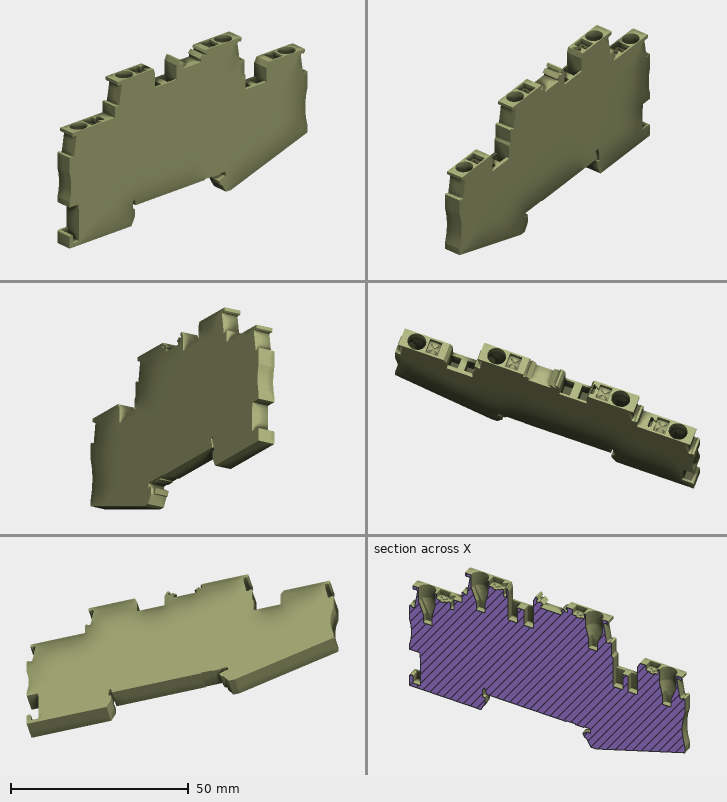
import cadquery as cq

thickness = 5.2
length = 89.55
height = 46.0

half_length = length / 2
half_thickness = thickness / 2

lower_deck_z = 35.3
lower_notch_z = 29.4
upper_notch_z = 40.1
marker_floor_z = 42.8
rail_z = 6.0
rail_relief_z = 6.3
tail_slot_bottom_z = 4.0
tail_slot_top_z = 12.6
tail_slot_y = -41.3
tail_slot_bend_z = 10.5
tail_slot_lean = 0.2
tail_bar_radius = 0.6

hollow_top_z = 23.2
rear_hollow_bottom_z = 11.3
rear_hollow_depth = 0.9
front_hollow_bottom_z = 14.3
front_hollow_depth = 0.6

lower_notch = (29.3, 21.5)
upper_notch = (-4.5, -12.6)
lower_bevel_z = 33.7
upper_bevel_z = 44.5
lower_bevel_width = 0.9
upper_bevel_width = 0.5
upper_shoulder_z = 34.5
lower_socket_width = 3.1
upper_socket_width = 4.1

lip_height = 1.2
groove_drop = 7.5
groove_lean = 1.1
groove_step = 1.8
ridge_rise = 0.45
ridge_shoulder_rise = 0.3
lip_reach = 1.7


def label_groove(ridge_y, deck_z, side):
    """Points of a groove from its lower ridge up to the lip; side is +1 or -1 for an end facing +Y or -Y."""
    base_z = deck_z - groove_drop
    lip_z = deck_z - lip_height
    foot_y = ridge_y - side * groove_step
    throat_y = foot_y - side * groove_lean
    lip_y = throat_y + side * lip_reach
    return [
        (ridge_y, base_z + ridge_shoulder_rise),
        (ridge_y - side * 0.6, base_z + ridge_rise),
        (ridge_y - side * 1.1, base_z),
        (foot_y, base_z),
        (throat_y, lip_z - 0.3),
        (throat_y + side * 0.2, lip_z),
        (throat_y + side * 0.8, lip_z + 0.1),
        (throat_y + side * 1.2, lip_z - 0.2),
        (lip_y, lip_z + 0.2),
        (lip_y, deck_z),
    ]


upper_ridge_y = 20.95
upper_step_y = -27.8

foot_tip_y = 15.9
end_corner_z = 9.2

marker_clip_high = [
    (6.3, height),
    (5.9, 45.3),
    (6.45, 45.1),
    (6.45, 44.4),
    (5.8, 44.4),
    (5.4, 45.0),
    (4.2, 44.0),
    (4.75, 43.8),
    (4.75, marker_floor_z),
]
marker_clip_low = [
    (-1.9, marker_floor_z),
    (-1.9, 43.8),
    (-1.1, 44.0),
    (-2.2, 44.95),
    (-2.7, 44.4),
    (-3.5, 44.4),
    (-3.5, 45.0),
    (-2.9, 45.2),
    (-3.3, height),
    (-3.8, height),
    (upper_notch[0], upper_bevel_z),
]
rail_hook = [
    (-21.5, 0),
    (-20.15, 2.7),
    (-20.15, 4.8),
    (-20.95, 4.8),
    (-20.95, 7.1),
    (-20.5, 8.0),
    (-20.0, 7.1),
    (-20.0, rail_z),
]
rail_foot = [
    (6.1, rail_z),
    (6.1, rail_relief_z),
    (13.6, rail_relief_z),
    (14.0, 6.0),
    (14.0, 4.8),
    (13.3, 5.1),
    (12.6, 4.3),
    (12.6, 2.6),
    (14.15, 0),
]


def body():
    outline = (
        cq.Workplane("YZ", origin=(-half_thickness, 0, 0))
        .moveTo(foot_tip_y, 0)
        .lineTo(half_length, end_corner_z)
        .lineTo(half_length, rear_hollow_bottom_z)
        .threePointArc(
            (half_length - rear_hollow_depth, (rear_hollow_bottom_z + hollow_top_z) / 2),
            (half_length, hollow_top_z),
        )
    )
    corners = label_groove(half_length, lower_deck_z, 0.9)
    corners += [
        (lower_notch[0] + lower_bevel_width, lower_deck_z),
        (lower_notch[0], lower_bevel_z),
        (lower_notch[0], lower_notch_z),
        (lower_notch[1], lower_notch_z),
        (lower_notch[1], lower_bevel_z),
        (upper_ridge_y, upper_shoulder_z),
    ]
    corners += label_groove(upper_ridge_y, height, 0.9)
    corners += marker_clip_high + marker_clip_low
    corners += [
        (upper_notch[0], upper_notch_z),
        (upper_notch[1], upper_notch_z),
        (upper_notch[1], upper_bevel_z),
        (upper_notch[1] - upper_bevel_width, height),
    ]
    corners += reversed(label_groove(upper_step_y, height, -0.9))
    corners += [(upper_step_y, lower_deck_z)]
    corners += reversed(label_groove(-half_length, lower_deck_z, -0.9))
    for corner in corners:
        outline = outline.lineTo(*corner)
    outline = (
        outline.lineTo(-half_length, hollow_top_z)
        .threePointArc(
            (-half_length + front_hollow_depth, (front_hollow_bottom_z + hollow_top_z) / 2),
            (-half_length, front_hollow_bottom_z),
        )
        .lineTo(-half_length, tail_slot_top_z)
        .lineTo(tail_slot_y - tail_slot_lean, tail_slot_top_z)
        .lineTo(tail_slot_y, tail_slot_bend_z)
        .lineTo(tail_slot_y, tail_slot_bottom_z)
        .lineTo(-half_length + tail_bar_radius, tail_slot_bottom_z)
        .radiusArc((-half_length, tail_slot_bottom_z - tail_bar_radius), -tail_bar_radius)
        .lineTo(-half_length, 0)
    )
    for corner in rail_hook + rail_foot:
        outline = outline.lineTo(*corner)
    return outline.close().extrude(thickness)


tail_wall = 0.6
tail_pocket_depth = 2.7


def tail_pocket():
    """Pocket whose -Y wall rolls over into the round top of the tail bar."""
    bar_top_y = -half_length + tail_bar_radius
    bar_back_y = bar_top_y + tail_bar_radius
    floor_z = tail_slot_bottom_z - tail_pocket_depth
    return (
        cq.Workplane("YZ", origin=(-half_thickness + tail_wall, 0, 0))
        .moveTo(bar_top_y, tail_slot_bottom_z)
        .radiusArc((bar_back_y, tail_slot_bottom_z - tail_bar_radius), tail_bar_radius)
        .lineTo(bar_back_y, floor_z)
        .lineTo(tail_slot_y, floor_z)
        .lineTo(tail_slot_y, tail_slot_bottom_z)
        .close()
        .extrude(thickness - tail_wall)
    )


latch_setback = 0.9
pad_overlap = 0.2


def latch_parts():
    barb = [(13.6, 5.2), (11.5, 4.0), (12.1, 2.7), (13.0, 2.6)]
    pad_top_z = rail_relief_z + pad_overlap
    pad = [(11.8, pad_top_z), (11.8, rail_z), (9.1, rail_z), (9.1, pad_top_z)]
    parts = cq.Workplane("YZ", origin=(-half_thickness + latch_setback, 0, 0))
    for shape in (barb, pad):
        parts = parts.polyline(shape).close()
    return parts.extrude(thickness - latch_setback)


def hook_recess():
    return (
        cq.Workplane("YZ", origin=(-half_thickness, 0, 0))
        .polyline([(-19.25, 9.1), (-20.4, 9.1), (-20.95, 7.1), (-20.0, 6.5)])
        .close()
        .extrude(latch_setback)
    )


mouth_depth = 4.5
funnel_depth = 4.5
contact_depth = 2.7
mouth_half_x = 2.4
mouth_half_y = 2.7
funnel_tip_radius = 1.25
funnel_lean = 0.4
shaft_width = 2.95
shaft_centre_x = 0.3
shaft_near_y = 1.7
shaft_far_y = 1.0
shaft_corner = 0.45


def wire_entry(y, deck_z, side):
    """Entry centred on y; its sloping shaft wall lies toward the end of the part given by side."""
    funnel_top_z = deck_z - mouth_depth
    contact_floor = -funnel_depth - contact_depth

    def oval(z):
        return cq.Workplane("XY", origin=(0, y, z)).ellipse(mouth_half_x, mouth_half_y)

    mouth = oval(deck_z).extrude(-mouth_depth)
    cone = (
        oval(funnel_top_z)
        .workplane(offset=-funnel_depth)
        .center(0, -side * funnel_lean)
        .circle(funnel_tip_radius)
        .loft(combine=True)
    )
    shaft = (
        cq.Workplane("YZ", origin=(shaft_centre_x - shaft_width / 2, y, funnel_top_z))
        .polyline([
            (side * mouth_half_y, 0),
            (-side * shaft_near_y, 0),
            (-side * shaft_near_y, contact_floor),
            (side * shaft_far_y, contact_floor),
            (side * shaft_far_y, -funnel_depth),
        ])
        .close()
        .extrude(shaft_width)
        .faces(">Y" if side < 0 else "<Y")
        .edges("|Z")
        .chamfer(shaft_corner)
    )
    sleeve = oval(funnel_top_z).extrude(contact_floor)
    return mouth.union(cone).union(shaft.intersect(sleeve))


well_width = 4.2
well_length = 3.7
well_depth = 1.8
cross_half_width = 1.6
cross_half_length = 1.2
cross_stroke = 0.9
cross_depth = 0.45


def button_well(y, deck_z):
    well = cq.Workplane("XY", origin=(0, y, deck_z)).rect(well_width, well_length).extrude(-well_depth)
    for mirror in (1, -1):
        stroke = (
            cq.Workplane("XY", origin=(0, y, deck_z - well_depth))
            .polyline([
                (-mirror * cross_half_width, cross_half_length),
                (-mirror * (cross_half_width - cross_stroke), cross_half_length),
                (mirror * cross_half_width, -cross_half_length),
                (mirror * (cross_half_width - cross_stroke), -cross_half_length),
            ])
            .close()
            .extrude(-cross_depth)
        )
        well = well.union(stroke)
    return well


probe_depth = 3.6
shelf_depth = 1.3


def probe_slot(well_y, deck_z):
    """Slot above the well; the outlines are measured from the centre of the well."""
    def symmetric_prism(half_outline, depth):
        mirrored = [(-x, y) for x, y in reversed(half_outline)]
        plane = cq.Workplane("XY", origin=(0, well_y, deck_z))
        return plane.polyline(half_outline + mirrored).close().extrude(-depth)

    slot = symmetric_prism([(1.3, 3.7), (1.6, 3.3), (1.25, 2.8)], probe_depth)
    shelf = symmetric_prism([(1.25, 2.8), (0.6, 1.8)], shelf_depth)
    return slot.union(shelf)


socket_length = 2.95
socket_depth = 5.4


def bridge_sockets(notch, floor_z, width):
    centres = (notch[0] - socket_length / 2, notch[1] + socket_length / 2)
    return (
        cq.Workplane("XY", origin=(0, 0, floor_z))
        .pushPoints([(0, y) for y in centres])
        .rect(width, socket_length)
        .extrude(-socket_depth)
    )


terminals = [
    (39.1, 34.0, lower_deck_z, 1),
    (15.2, 10.1, height, 1),
    (-21.9, -16.9, height, -1),
    (-39.1, -34.1, lower_deck_z, -1),
]

result = body().union(latch_parts()).cut(hook_recess()).cut(tail_pocket())
for entry_y, well_y, deck_z, side in terminals:
    result = result.cut(wire_entry(entry_y, deck_z, side))
    result = result.cut(button_well(well_y, deck_z))
    if side < 0:
        result = result.cut(probe_slot(well_y, deck_z))
result = result.cut(bridge_sockets(lower_notch, lower_notch_z, lower_socket_width))
result = result.cut(bridge_sockets(upper_notch, upper_notch_z, upper_socket_width))